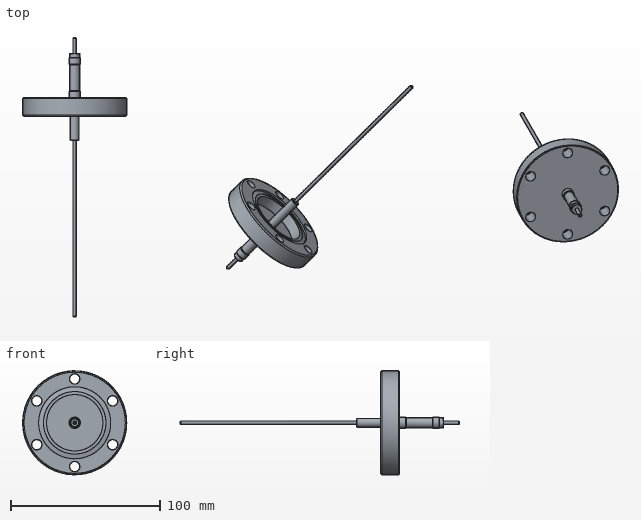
import cadquery as cq
import math


FLANGE_DIA = 69.85
FLANGE_THICKNESS = 12.7
FRONT_CHAMFER = 1.0
BACK_CHAMFER = 0.6
RECESS_DIA = 48.3
KNIFE_DIA = 41.9
KNIFE_TIP_DEPTH = 0.65
KNIFE_SLOPE_DEG = 12.0
SEAT_DEPTH = 1.0
BORE_DIA = 37.8
BORE_DEPTH = 8.7

BOLT_COUNT = 6
BOLT_CIRCLE_DIA = 58.72
BOLT_HOLE_DIA = 6.73

ROD_DIA = 2.4
TERMINAL_END = 53.1
TOTAL_LENGTH = 187.45
LONG_END = TERMINAL_END - TOTAL_LENGTH
ROD_CHAMFER = 0.6

INNER_DIA = 6.0
INNER_END = -15.9
INNER_CHAMFER = 0.4

SLEEVE_DIA = 7.6
SLEEVE_LIP = 0.8
SLEEVE_CHAMFER = 0.5
SLEEVE_START = BORE_DEPTH - SLEEVE_LIP
SLEEVE_END = 17.4

OUTER_DIA = 6.8
OUTER_END = 34.7

CAP_DIA = 7.6
CAP_END = 39.7
CAP_TIP_DIA = 6.8
CAP_TIP_END = 42.2
CAP_CHAMFER = 0.5


def rod(dia, start, end):
    """Cylinder on the Y axis between two Y positions."""
    plane = cq.Plane(origin=(0, start, 0), xDir=(1, 0, 0), normal=(0, 1, 0))
    return cq.Workplane(plane).circle(dia / 2).extrude(end - start)


def make_flange():
    """Flange disc with a blind bore, a flat seat and a sloping knife edge."""
    outer = FLANGE_DIA / 2
    recess = RECESS_DIA / 2
    knife = KNIFE_DIA / 2
    bore = BORE_DIA / 2
    slope_drop = (recess - knife) * math.tan(math.radians(KNIFE_SLOPE_DEG))
    return (
        cq.Workplane("XY")
        .moveTo(0, FLANGE_THICKNESS)
        .lineTo(outer - BACK_CHAMFER, FLANGE_THICKNESS)
        .lineTo(outer, FLANGE_THICKNESS - BACK_CHAMFER)
        .lineTo(outer, FRONT_CHAMFER)
        .lineTo(outer - FRONT_CHAMFER, 0)
        .lineTo(recess, 0)
        .lineTo(recess, KNIFE_TIP_DEPTH + slope_drop)
        .lineTo(knife, KNIFE_TIP_DEPTH)
        .lineTo(knife, SEAT_DEPTH)
        .lineTo(bore, SEAT_DEPTH)
        .lineTo(bore, BORE_DEPTH)
        .lineTo(0, BORE_DEPTH)
        .close()
        .revolve(360, (0, 0, 0), (0, 1, 0))
    )


def make_bolt_holes():
    """Cutters for the bolt circle, with one hole at the top."""
    plane = cq.Plane(origin=(0, 0, 0), xDir=(0, 0, 1), normal=(0, 1, 0))
    return (
        cq.Workplane(plane)
        .polarArray(BOLT_CIRCLE_DIA / 2, 0, 360, BOLT_COUNT)
        .circle(BOLT_HOLE_DIA / 2)
        .extrude(FLANGE_THICKNESS)
    )


def make_feedthrough():
    """Rod, insulators, sleeve and cap stacked along the Y axis."""
    conductor = rod(ROD_DIA, LONG_END, TERMINAL_END).faces("<Y or >Y").chamfer(ROD_CHAMFER)
    inner = rod(INNER_DIA, INNER_END, BORE_DEPTH).faces("<Y").chamfer(INNER_CHAMFER)
    sleeve = rod(SLEEVE_DIA, SLEEVE_START, SLEEVE_END).faces("<Y or >Y").chamfer(SLEEVE_CHAMFER)
    outer = rod(OUTER_DIA, SLEEVE_END, OUTER_END)
    cap = rod(CAP_DIA, OUTER_END, CAP_END).faces("<Y or >Y").chamfer(CAP_CHAMFER)
    cap_tip = rod(CAP_TIP_DIA, OUTER_END, CAP_TIP_END)
    return conductor.union(inner).union(sleeve).union(outer).union(cap).union(cap_tip)


result = make_flange().cut(make_bolt_holes()).union(make_feedthrough())